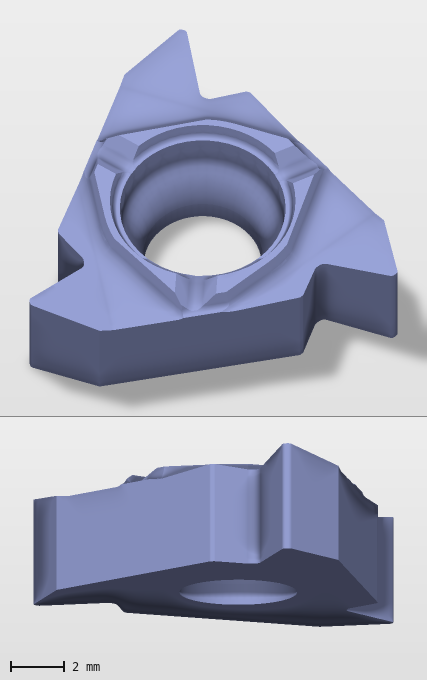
import cadquery as cq
import math


TURNS = (0, 120, 240)
REACH = 10.99

floor_z = 3.5
ledge_z = 3.57
notch_z = 3.6
seat_ledge_z = 3.63
top_z = 4.1

inscribed_diameter = 9.52
side_distance = inscribed_diameter / 2
leading_flank_distance = 6.54
trailing_flank_distance = 0.89
shoulder_distance = 4.86
tip_cut_back = 0.23
tip_radius = 0.16
root_fill = 0.15
root_radius = 0.3
shoulder_cut_back = 0.045
shoulder_radius = 0.11

bend_distance = 4.31
rake_angle = 10.0
bend_radius = 0.41

wall_draft = 25.0
boss_round_foot = 4.22
boss_flat_foot = 4.1
boss_flat_angle = 121.5
boss_foot_radius = 0.35

ledge_foot_distance = 4.63
ledge_foot_radius = 0.2
ledge_half_length = 1.65

notch_angle = 165.4
notch_side_slope = 40.0
notch_top_half_width = 0.77
notch_root_radius = 0.35

bore_radius = 2.2
mouth_radius = 3.46
mouth_draft = 17.0
mouth_fillet_radius = 0.19
throat_radius = 3.09
throat_low_radius = 3.02
cup_radius = 0.52
seat_arc_radius = 2.06
seat_low_z = 0.78


def meet(line_a, line_b):
    """Point where two outline lines cross."""
    angle_a, distance_a = math.radians(line_a[0]), line_a[1]
    angle_b, distance_b = math.radians(line_b[0]), line_b[1]
    spread = math.sin(angle_b - angle_a)
    x = (distance_a * math.sin(angle_b) - distance_b * math.sin(angle_a)) / spread
    y = (distance_b * math.cos(angle_a) - distance_a * math.cos(angle_b)) / spread
    return x, y


def turned(point, angle):
    """Plan point rotated about the axis."""
    c, s = math.cos(math.radians(angle)), math.sin(math.radians(angle))
    return point[0] * c - point[1] * s, point[0] * s + point[1] * c


def outline_prism():
    """Full-height body with three teeth, rounded at the tips, roots and shoulders."""
    side = (180, side_distance)
    next_side = (60, side_distance)
    leading_flank = (150, leading_flank_distance)
    trailing_flank = (30, trailing_flank_distance)
    shoulder = (120, shoulder_distance)
    sharp_tip = meet(leading_flank, trailing_flank)
    sharp_root = meet(trailing_flank, shoulder)
    sharp_shoulder = meet(shoulder, next_side)
    tip_flat = (90, sharp_tip[1] - tip_cut_back)
    root_flat = (90, sharp_root[1] + root_fill)
    shoulder_flat = (90, sharp_shoulder[1] - shoulder_cut_back)

    sharp_corner = meet(side, leading_flank)
    rounded_corners = (
        (meet(leading_flank, tip_flat), tip_radius),
        (meet(tip_flat, trailing_flank), tip_radius),
        (meet(trailing_flank, root_flat), root_radius),
        (meet(root_flat, shoulder), root_radius),
        (meet(shoulder, shoulder_flat), shoulder_radius),
        (meet(shoulder_flat, next_side), shoulder_radius),
    )
    corners = [sharp_corner] + [corner for corner, _ in rounded_corners]
    points = [turned(corner, -turn) for turn in TURNS for corner in corners]
    body = cq.Workplane("XY").polyline(points).close().extrude(top_z)

    for corner, radius in rounded_corners:
        for turn in TURNS:
            x, y = turned(corner, turn)
            edge = cq.selectors.NearestToPointSelector((x, y, top_z / 2))
            body = body.edges("|Z").edges(edge).fillet(radius)
    return body


def rake_wedge():
    """Ramp above the floor for the tooth pointing along +Y."""
    rake = math.radians(rake_angle)
    setback = bend_radius * math.tan(rake / 2)
    start = (bend_distance - setback, floor_z)
    arc_middle = (
        start[0] + bend_radius * math.sin(rake / 2),
        floor_z + bend_radius * (1 - math.cos(rake / 2)),
    )
    arc_end = (
        bend_distance + setback * math.cos(rake),
        floor_z + setback * math.sin(rake),
    )
    far_z = floor_z + (REACH - bend_distance) * math.tan(rake)
    return (
        cq.Workplane("YZ")
        .moveTo(start[0], 0)
        .lineTo(*start)
        .threePointArc(arc_middle, arc_end)
        .lineTo(REACH, far_z)
        .lineTo(REACH, 0)
        .close()
        .extrude(REACH, both=True)
    )


def outside_wall(foot_distance, foot_z, foot_radius):
    """Section of the space outside a drafted wall whose foot fillet starts at foot_distance."""
    draft = math.radians(wall_draft)
    fillet_center = (foot_distance, foot_z + foot_radius)
    fillet_top = (
        foot_distance - foot_radius * math.cos(draft),
        fillet_center[1] - foot_radius * math.sin(draft),
    )
    middle = (math.pi / 2 + draft) / 2
    fillet_middle = (
        foot_distance - foot_radius * math.cos(middle),
        fillet_center[1] - foot_radius * math.sin(middle),
    )
    wall_top = fillet_top[0] - (top_z - fillet_top[1]) * math.tan(draft)
    return (
        cq.Workplane("XZ")
        .moveTo(REACH, foot_z)
        .lineTo(foot_distance, foot_z)
        .threePointArc(fillet_middle, fillet_top)
        .lineTo(wall_top, top_z)
        .lineTo(REACH, top_z)
        .close()
    )


def straight_wall(angle, foot_distance, foot_z, foot_radius, half_length):
    """Cutter outside a straight wall whose outward normal points along angle."""
    section = outside_wall(foot_distance, foot_z, foot_radius)
    return section.extrude(half_length, both=True).rotate((0, 0, 0), (0, 0, 1), angle)


def round_wall():
    """Cutter outside the arc that joins a tangent wall to the next flat wall."""
    section = outside_wall(boss_round_foot, floor_z, boss_foot_radius)
    sweep = boss_flat_angle - 90
    return section.revolve(sweep, (0, 0, 0), (0, 1, 0)).rotate((0, 0, 0), (0, 0, 1), 90)


def boss_on_floor():
    """Flat floor carrying the drafted boss with its stepped corners."""
    form = cq.Workplane("XY").circle(REACH).extrude(top_z)
    cutters = (
        straight_wall(90, boss_round_foot, floor_z, boss_foot_radius, REACH),
        straight_wall(boss_flat_angle, boss_flat_foot, floor_z, boss_foot_radius, REACH),
        round_wall(),
        straight_wall(180, ledge_foot_distance, ledge_z, ledge_foot_radius, ledge_half_length),
    )
    for cutter in cutters:
        for turn in TURNS:
            form = form.cut(cutter.rotate((0, 0, 0), (0, 0, 1), turn))
    return form


def corner_notch():
    """Cutter for the V notch running outward from the axis, with a rounded root."""
    root_half_width = notch_top_half_width - (top_z - notch_z) / math.tan(math.radians(notch_side_slope))
    return (
        cq.Workplane("YZ")
        .moveTo(-notch_top_half_width, top_z)
        .lineTo(-root_half_width, notch_z)
        .lineTo(root_half_width, notch_z)
        .lineTo(notch_top_half_width, top_z)
        .close()
        .extrude(REACH)
        .edges("|X and (not >Z)")
        .fillet(notch_root_radius)
        .rotate((0, 0, 0), (0, 0, 1), notch_angle)
    )


def screw_hole():
    """Cutter for the bore with its domed screw seat and stepped mouth."""
    cup_center = throat_low_radius - cup_radius
    seat_center = bore_radius + seat_arc_radius
    seat_angle = math.acos((seat_center - cup_center) / (seat_arc_radius + cup_radius))
    seat_rise = seat_arc_radius * math.sin(seat_angle)
    seat_top = (seat_center - seat_arc_radius * math.cos(seat_angle), seat_low_z + seat_rise)
    seat_middle = (
        seat_center - seat_arc_radius * math.cos(seat_angle / 2),
        seat_low_z + seat_arc_radius * math.sin(seat_angle / 2),
    )
    cup_top_z = seat_low_z + (seat_arc_radius + cup_radius) * math.sin(seat_angle)
    cup_middle = (
        cup_center + cup_radius * math.cos(seat_angle / 2),
        cup_top_z - cup_radius * math.sin(seat_angle / 2),
    )

    draft = math.radians(mouth_draft)
    fillet_top_z = seat_ledge_z + mouth_fillet_radius * (1 - math.sin(draft))
    fillet_top_radius = mouth_radius - (top_z - fillet_top_z) * math.tan(draft)
    fillet_center = fillet_top_radius - mouth_fillet_radius * math.cos(draft)
    middle = math.radians((270 + 360 - mouth_draft) / 2)
    fillet_middle = (
        fillet_center + mouth_fillet_radius * math.cos(middle),
        seat_ledge_z + mouth_fillet_radius * (1 + math.sin(middle)),
    )
    return (
        cq.Workplane("XZ")
        .lineTo(bore_radius, 0)
        .lineTo(bore_radius, seat_low_z)
        .threePointArc(seat_middle, seat_top)
        .threePointArc(cup_middle, (throat_low_radius, cup_top_z))
        .lineTo(throat_radius, seat_ledge_z)
        .lineTo(fillet_center, seat_ledge_z)
        .threePointArc(fillet_middle, (fillet_top_radius, fillet_top_z))
        .lineTo(mouth_radius, top_z)
        .lineTo(0, top_z)
        .close()
        .revolve(360, (0, 0, 0), (0, 1, 0))
    )


top_form = boss_on_floor()
for turn in TURNS:
    top_form = top_form.union(rake_wedge().rotate((0, 0, 0), (0, 0, 1), turn))
    top_form = top_form.cut(corner_notch().rotate((0, 0, 0), (0, 0, 1), turn))
result = outline_prism().intersect(top_form).cut(screw_hole())